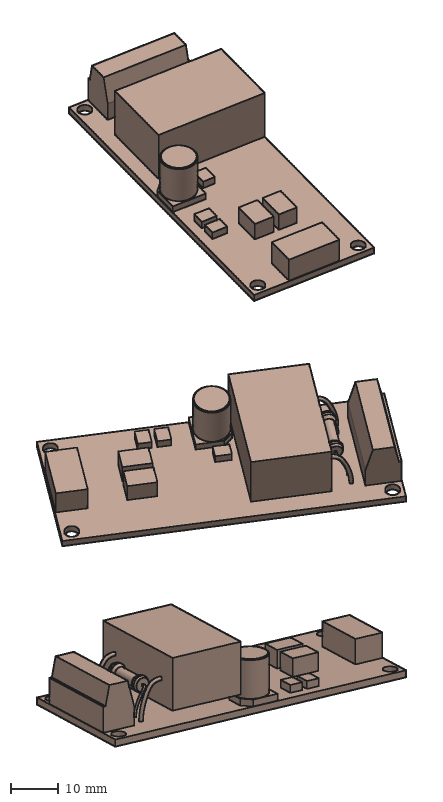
import cadquery as cq


board_length = 74.0
board_width = 30.0
board_thickness = 1.6
hole_diameter = 3.2
hole_inset = 2.45
top = board_thickness

terminal_x_min = 0.1
terminal_x_max = 7.9
terminal_y_min = 4.7
terminal_y_max = 25.3
terminal_top = 12.1
terminal_shoulder = 7.55
shoulder_x = 0.7
terminal_top_x_min = 1.6
terminal_top_x_max = 6.3
terminal_back_height = 6.15

transformer_x_min = 15.7
transformer_x_max = 33.1
transformer_y_min = 1.7
transformer_y_max = 28.3
transformer_bottom = 4.3
transformer_top = 16.3

wire_diameter = 0.9
wire_foot_x = 10.65
wire_exit_z = 10.2
wire_y_positions = (6.2, 23.75)
wire_bends = ((11.7, 6.65), (13.0, 9.2))
wire_embed = 0.4

cartridge_x = 13.5
cartridge_z = 8.1
cartridge_y_min = 9.8
cartridge_y_max = 20.5
cartridge_diameter = 2.7
cap_diameter = 3.7
cap_length = 2.15
cap_end_diameter = 3.2
cap_rim_start = 0.7
cap_rim_end = 1.3
lead_diameter = 0.5
lead_reach = 0.9
lead_bend_radius = 0.45
lead_foot_x = 10.9
lead_knee_x = 12.2
lead_knee_z = 5.9

can_diameter = 8.0
can_x = 37.15
can_y = 4.2
can_top = 12.1
can_chamfer = 0.2
base_side = 8.2
base_top = 3.2
base_corner_cut = 2.0

chip_height = 1.8
package_height = 4.2
connector_height = 5.8
rectangular_components = (
    (34.3, 9.8, 3.6, 2.95, chip_height),
    (46.2, 2.45, 3.0, 3.7, chip_height),
    (50.4, 2.45, 3.0, 3.7, chip_height),
    (51.8, 16.0, 6.5, 4.5, package_height),
    (51.8, 10.0, 6.5, 4.7, package_height),
    (67.0, 8.8, 6.9, 12.6, connector_height),
)


def block(x, y, z, length, width, height):
    """Box with its minimum corner at (x, y, z)."""
    return cq.Workplane("XY").box(length, width, height, centered=False).translate((x, y, z))


def rod_along_y(diameter, y_start, y_end):
    """Cylinder on the cartridge axis."""
    plane = cq.Plane(origin=(cartridge_x, y_start, cartridge_z), xDir=(1, 0, 0), normal=(0, 1, 0))
    return cq.Workplane(plane).circle(diameter / 2).extrude(y_end - y_start)


def make_board():
    hole_x = board_length / 2 - hole_inset
    hole_y = board_width / 2 - hole_inset
    corners = [(x, y) for x in (-hole_x, hole_x) for y in (-hole_y, hole_y)]
    return (
        block(0, 0, 0, board_length, board_width, board_thickness)
        .faces(">Z")
        .workplane(origin=(board_length / 2, board_width / 2, top))
        .pushPoints(corners)
        .hole(hole_diameter)
    )


def make_terminal_block():
    profile = [
        (terminal_x_min, top),
        (terminal_x_max, top),
        (terminal_x_max, terminal_back_height),
        (terminal_top_x_max, terminal_top),
        (terminal_top_x_min, terminal_top),
        (shoulder_x, terminal_shoulder),
        (terminal_x_min, terminal_shoulder),
    ]
    return (
        cq.Workplane("XZ", origin=(0, terminal_y_min, 0))
        .polyline(profile)
        .close()
        .extrude(terminal_y_min - terminal_y_max)
    )


def make_transformer():
    return block(
        transformer_x_min,
        transformer_y_min,
        transformer_bottom,
        transformer_x_max - transformer_x_min,
        transformer_y_max - transformer_y_min,
        transformer_top - transformer_bottom,
    )


def make_wire(y):
    """Wire rising from inside the board and levelling out inside the transformer."""
    foot = (wire_foot_x, top - wire_embed)
    end = (transformer_x_min + wire_embed, wire_exit_z)
    path = cq.Workplane("XZ", origin=(0, y, 0)).spline(
        [foot, *wire_bends, end], tangents=[(0, 1), (1, 0)]
    )
    return cq.Workplane("XY", origin=(wire_foot_x, y, foot[1])).circle(wire_diameter / 2).sweep(path)


def make_cap(y_outer, direction):
    """End cap bulging between two tapers; direction points towards the cartridge middle."""
    plane = cq.Plane(
        origin=(cartridge_x, y_outer, cartridge_z), xDir=(1, 0, 0), normal=(0, 0, direction)
    )
    profile = [
        (0, 0),
        (cap_end_diameter / 2, 0),
        (cap_diameter / 2, cap_rim_start),
        (cap_diameter / 2, cap_rim_end),
        (cartridge_diameter / 2, cap_length),
        (0, cap_length),
    ]
    return cq.Workplane(plane).polyline(profile).close().revolve(360, (0, 0), (0, 1))


def make_lead(y_outer, direction):
    """Lead leaving a cap along Y, turning, and curving down into the board."""
    y_start = y_outer + direction * wire_embed
    y_turn = y_outer - direction * lead_reach
    y_bend = y_turn + direction * lead_bend_radius
    knee = cq.Vector(lead_knee_x, y_turn, lead_knee_z)
    foot = cq.Vector(lead_foot_x, y_turn, top - wire_embed)
    start = cq.Vector(cartridge_x, y_start, cartridge_z)
    bend_start = cq.Vector(cartridge_x, y_bend, cartridge_z)
    outward = cq.Vector(0, -direction, 0)
    slope = (knee - cq.Vector(cartridge_x, y_turn, cartridge_z)).normalized()
    bend_end = cq.Vector(cartridge_x, y_turn, cartridge_z) + slope * lead_bend_radius
    path = cq.Wire.assembleEdges([
        cq.Edge.makeLine(start, bend_start),
        cq.Edge.makeTangentArc(bend_start, outward, bend_end),
        cq.Edge.makeSpline([bend_end, knee, foot], tangents=[slope, cq.Vector(0, 0, -1)]),
    ])
    section = cq.Workplane(cq.Plane(origin=start.toTuple(), xDir=(1, 0, 0), normal=outward.toTuple()))
    return section.circle(lead_diameter / 2).sweep(cq.Workplane(path))


def make_cartridge():
    cartridge = rod_along_y(cartridge_diameter, cartridge_y_min, cartridge_y_max)
    for y_outer, direction in ((cartridge_y_min, 1), (cartridge_y_max, -1)):
        cartridge = cartridge.union(make_cap(y_outer, direction))
        cartridge = cartridge.union(make_lead(y_outer, direction))
    return cartridge


def make_capacitor():
    base = (
        block(can_x - can_diameter / 2, can_y - base_side / 2, top, base_side, base_side, base_top - top)
        .edges("|Z and <X")
        .chamfer(base_corner_cut)
    )
    can = (
        cq.Workplane("XY", origin=(can_x, can_y, top))
        .circle(can_diameter / 2)
        .extrude(can_top - top)
        .faces(">Z")
        .chamfer(can_chamfer)
    )
    return base.union(can)


result = make_board()
result = result.union(make_terminal_block())
result = result.union(make_transformer())
for wire_y in wire_y_positions:
    result = result.union(make_wire(wire_y))
result = result.union(make_cartridge())
result = result.union(make_capacitor())
for x, y, length, width, height in rectangular_components:
    result = result.union(block(x, y, top, length, width, height))